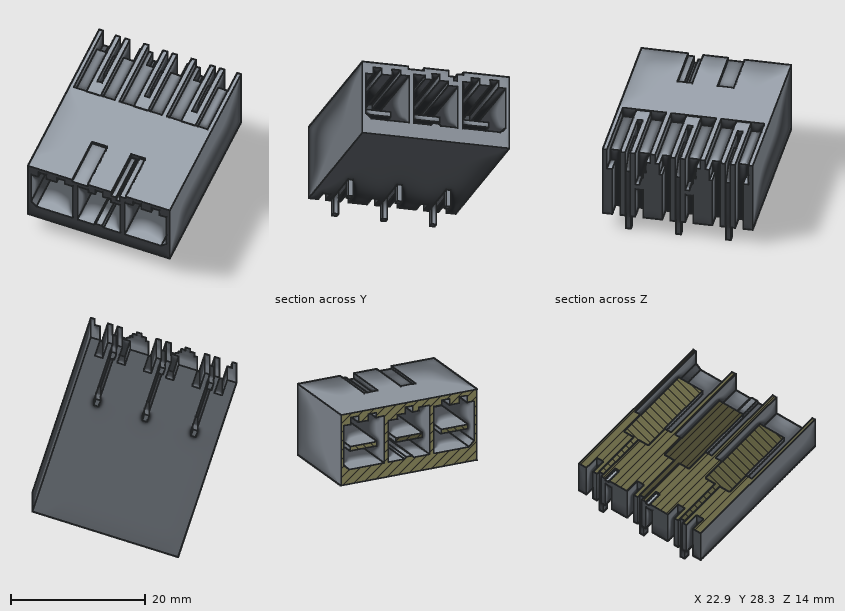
import cadquery as cq

POLES = 3
WIDTH = 22.87
LENGTH = 28.3
HEIGHT = 11.4
PITCH = WIDTH / POLES
POLE_WALL = 0.75

CAVITY_DEPTH = 15.0
CAVITY_FLOOR = 2.4
OUTER_CAVITY_WALL = 0.55
CORNER_CHAMFER = 0.85
NOTCH_DROP = 0.75
CEILING_DROP = 1.75
INNER_CEILING_DROP = 1.53
OUTER_CEILING_DROP = 1.87
NOTCH_INNER_X = 0.82
NOTCH_OUTER_X = 2.12
MID_NOTCH_X = 0.6
MID_LEFT_X = 1.7
MID_LEFT_DROP = 1.2
MID_RIGHT_X = 1.92
MID_RIGHT_DROP = 2.4
RIB_BASE_X = 0.8
RIB_TOP_X = 0.5
RIB_HEIGHT = 0.3

RECESS_LENGTH = 7.9
RECESS_DROP = 0.42
RECESS_OUTER_X = 4.3
RECESS_INNER_X = 1.8
CODING_INNER_X = 2.0
CODING_GROOVE_X = 2.77
CODING_STEP_X = 3.35
CODING_DROP = 0.88
CODING_GROOVE_DROP = 1.53

POCKET_LENGTH = 11.72
POCKET_DROP = 1.55
OUTER_POCKET_WALL = 0.65
BLOCK_WIDTH = 2.3
BLOCK_DROP = 0.17
OPENING_LENGTH = 2.52
OPENING_X = 2.35
SHOULDER_X = 2.77
LEDGE_DROP = 3.4
BRIDGE_DROP = 5.65
BRIDGE_THICKNESS = 0.85
BEAD_RADIUS = 2.0

PLATE_THICKNESS = 0.75
SLOT_LENGTH = 9.2
PLATE_REAR_GAP = 0.55
PLATE_DROP = 1.55
PLATE_CHAMFER = 2.3
PLATE_STEP = 6.68
BLADE_WIDTH = 4.5
BLADE_THICKNESS = 0.75
BLADE_DROP = 5.35
BLADE_TIP = 5.65
LEG_LENGTH = 2.6
LEG_DEPTH = 1.02

SLOT_FRONT = LENGTH - SLOT_LENGTH
POLE_CENTERS = [(i - (POLES - 1) / 2) * PITCH for i in range(POLES)]


def box(x0, x1, y0, y1, z0, z1):
    """Box given by its limits along each axis."""
    return cq.Workplane("XY").box(x1 - x0, y1 - y0, z1 - z0, centered=False).translate((x0, y0, z0))


def prism_from_front(points, depth):
    """Extrude an X-Z outline from the mating face toward the rear."""
    return cq.Workplane("XZ").polyline(points).close().extrude(-depth)


def outer_cavity():
    """Cavity of the leftmost pole, whose outer side is the left one."""
    left = -PITCH / 2 + OUTER_CAVITY_WALL
    right = PITCH / 2 - POLE_WALL / 2
    outer_z = HEIGHT - OUTER_CEILING_DROP
    inner_z = HEIGHT - INNER_CEILING_DROP
    ceiling_z = HEIGHT - CEILING_DROP
    notch_z = HEIGHT - NOTCH_DROP
    outline = [
        (left + CORNER_CHAMFER, CAVITY_FLOOR),
        (right, CAVITY_FLOOR),
        (right, inner_z),
        (NOTCH_OUTER_X, inner_z),
        (NOTCH_OUTER_X, notch_z),
        (NOTCH_INNER_X, notch_z),
        (NOTCH_INNER_X, ceiling_z),
        (-NOTCH_INNER_X, ceiling_z),
        (-NOTCH_INNER_X, notch_z),
        (-NOTCH_OUTER_X, notch_z),
        (-NOTCH_OUTER_X, outer_z),
        (left, outer_z),
        (left, CAVITY_FLOOR + CORNER_CHAMFER),
    ]
    return prism_from_front(outline, CAVITY_DEPTH)


def middle_cavity():
    """Cavity of the middle pole, with a keying rib along its floor."""
    side = PITCH / 2 - POLE_WALL / 2
    left_z = HEIGHT - MID_LEFT_DROP
    right_z = HEIGHT - MID_RIGHT_DROP
    ceiling_z = HEIGHT - CEILING_DROP
    notch_z = HEIGHT - NOTCH_DROP
    outline = [
        (-side, CAVITY_FLOOR),
        (-RIB_BASE_X, CAVITY_FLOOR),
        (-RIB_TOP_X, CAVITY_FLOOR + RIB_HEIGHT),
        (RIB_TOP_X, CAVITY_FLOOR + RIB_HEIGHT),
        (RIB_BASE_X, CAVITY_FLOOR),
        (side, CAVITY_FLOOR),
        (side, right_z),
        (MID_RIGHT_X, right_z),
        (MID_RIGHT_X, ceiling_z),
        (MID_NOTCH_X, ceiling_z),
        (MID_NOTCH_X, notch_z),
        (-MID_NOTCH_X, notch_z),
        (-MID_NOTCH_X, ceiling_z),
        (-MID_LEFT_X, ceiling_z),
        (-MID_LEFT_X, left_z),
        (-side, left_z),
    ]
    return prism_from_front(outline, CAVITY_DEPTH)


def coding_recesses():
    """Plain recess on the left and stepped recess on the right of the top face."""
    plain = box(-RECESS_OUTER_X, -RECESS_INNER_X, 0, RECESS_LENGTH, HEIGHT - RECESS_DROP, HEIGHT)
    stepped = prism_from_front(
        [
            (CODING_INNER_X, HEIGHT),
            (CODING_INNER_X, HEIGHT - CODING_DROP),
            (CODING_GROOVE_X, HEIGHT - CODING_DROP),
            (CODING_GROOVE_X, HEIGHT - CODING_GROOVE_DROP),
            (CODING_STEP_X, HEIGHT - CODING_GROOVE_DROP),
            (CODING_STEP_X, HEIGHT - RECESS_DROP),
            (RECESS_OUTER_X, HEIGHT - RECESS_DROP),
            (RECESS_OUTER_X, HEIGHT),
        ],
        RECESS_LENGTH,
    )
    return plain, stepped


def rear_pocket(pole):
    """Open-topped pocket around the raised block of one pole."""
    center = POLE_CENTERS[pole]
    left_wall = OUTER_POCKET_WALL if pole == 0 else POLE_WALL / 2
    right_wall = OUTER_POCKET_WALL if pole == POLES - 1 else POLE_WALL / 2
    left = center - PITCH / 2 + left_wall
    right = center + PITCH / 2 - right_wall
    front = LENGTH - POCKET_LENGTH
    pocket = box(left, right, front, LENGTH, HEIGHT - POCKET_DROP, HEIGHT)
    block = box(
        center - BLOCK_WIDTH / 2,
        center + BLOCK_WIDTH / 2,
        front,
        LENGTH,
        HEIGHT - POCKET_DROP,
        HEIGHT - BLOCK_DROP,
    )
    return pocket.cut(block)


def rear_opening(pole, side):
    """Vertical opening beside the block; side is -1 for left and 1 for right."""
    center = POLE_CENTERS[pole]
    is_outer = (pole == 0 and side < 0) or (pole == POLES - 1 and side > 0)
    ledge_x = PITCH / 2 - OUTER_POCKET_WALL if is_outer else SHOULDER_X
    front = LENGTH - OPENING_LENGTH
    ledge_z = HEIGHT - LEDGE_DROP
    opening = box(BLOCK_WIDTH / 2, OPENING_X, front, LENGTH, 0, HEIGHT - POCKET_DROP)
    ledge = box(OPENING_X, ledge_x, front, LENGTH, ledge_z, HEIGHT - POCKET_DROP)
    opening = opening.union(ledge)
    if side < 0:
        opening = opening.mirror("YZ")
    return opening.translate((center, 0, 0))


def bridge(pole):
    """Floor with a rounded bead that closes the left opening of an inner pole."""
    center = POLE_CENTERS[pole]
    wall_x = center - PITCH / 2
    front = LENGTH - OPENING_LENGTH
    left = center - OPENING_X
    right = center - BLOCK_WIDTH / 2
    top = HEIGHT - BRIDGE_DROP
    floor = box(left, right, front, LENGTH, top - BRIDGE_THICKNESS, top)
    bead = (
        cq.Workplane("XZ")
        .center(wall_x, top)
        .circle(BEAD_RADIUS)
        .extrude(-OPENING_LENGTH)
        .translate((0, front, 0))
    )
    bead = bead.intersect(box(left, right, front, LENGTH, top, HEIGHT))
    return floor.union(bead)


def blade(center, rear):
    """Flat contact blade from its tip to the given rear end."""
    blade_top = HEIGHT - BLADE_DROP
    half = BLADE_WIDTH / 2
    return box(center - half, center + half, BLADE_TIP, rear, blade_top - BLADE_THICKNESS, blade_top)


def terminal(center):
    """Upright plate with two solder legs and a blade reaching into the cavity."""
    rear = LENGTH - PLATE_REAR_GAP
    top = HEIGHT - PLATE_DROP
    step_y = LENGTH - PLATE_STEP
    blade_top = HEIGHT - BLADE_DROP
    web_bottom = blade_top - BLADE_THICKNESS
    outline = [
        (SLOT_FRONT, -LEG_LENGTH),
        (SLOT_FRONT + LEG_DEPTH, -LEG_LENGTH),
        (SLOT_FRONT + LEG_DEPTH, web_bottom),
        (rear - LEG_DEPTH, web_bottom),
        (rear - LEG_DEPTH, -LEG_LENGTH),
        (rear, -LEG_LENGTH),
        (rear, top - PLATE_CHAMFER),
        (rear - PLATE_CHAMFER, top),
        (step_y, top),
        (step_y, blade_top),
        (SLOT_FRONT, blade_top),
    ]
    plate = cq.Workplane("YZ").polyline(outline).close().extrude(PLATE_THICKNESS)
    plate = plate.translate((center - PLATE_THICKNESS / 2, 0, 0))
    return plate.union(blade(center, SLOT_FRONT))


def terminal_slot(center):
    """Slot for the terminal plate, open at the rear, the top and the underside."""
    half = PLATE_THICKNESS / 2
    return box(center - half, center + half, SLOT_FRONT, LENGTH, 0, HEIGHT)


def make_housing():
    body = box(-WIDTH / 2, WIDTH / 2, 0, LENGTH, 0, HEIGHT)
    left_cavity = outer_cavity().translate((POLE_CENTERS[0], 0, 0))
    body = body.cut(left_cavity).cut(left_cavity.mirror("YZ")).cut(middle_cavity())
    for recess in coding_recesses():
        body = body.cut(recess)
    for pole, center in enumerate(POLE_CENTERS):
        body = body.cut(rear_pocket(pole))
        for side in (-1, 1):
            body = body.cut(rear_opening(pole, side))
        if pole > 0:
            body = body.union(bridge(pole))
        body = body.cut(terminal_slot(center)).cut(blade(center, SLOT_FRONT))
    return body


housing = make_housing()
terminals = [terminal(center) for center in POLE_CENTERS]

result = cq.Compound.makeCompound([housing.val(), *[item.val() for item in terminals]])